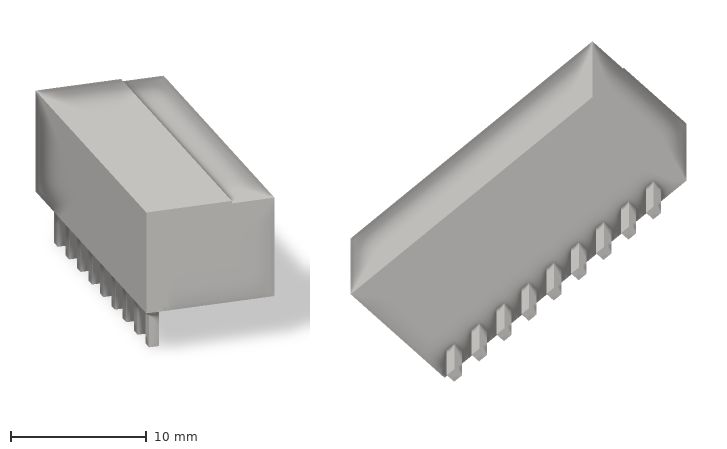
import cadquery as cq

length = 24.65
width = 10.0
total_height = 11.6
pin_length = 3.53
body_height = total_height - pin_length

step_width = 3.33
step_depth = 0.2

pin_count = 9
pin_pitch = 2.55
pin_size = 0.8
pin_row_y = 1.23


def make_housing():
    """Stepped block with its bottom at Z = 0 and its front face at Y = 0."""
    profile = [
        (0, 0),
        (width, 0),
        (width, body_height - step_depth),
        (width - step_width, body_height - step_depth),
        (width - step_width, body_height),
        (0, body_height),
    ]
    return cq.Workplane("YZ").polyline(profile).close().extrude(length / 2, both=True)


def make_pins():
    """Square pins hanging below the housing in one row along X."""
    return (
        cq.Workplane("XY")
        .center(0, pin_row_y)
        .rarray(pin_pitch, 0.25, pin_count, 1)
        .rect(pin_size, pin_size)
        .extrude(-pin_length)
    )


result = make_housing().union(make_pins())